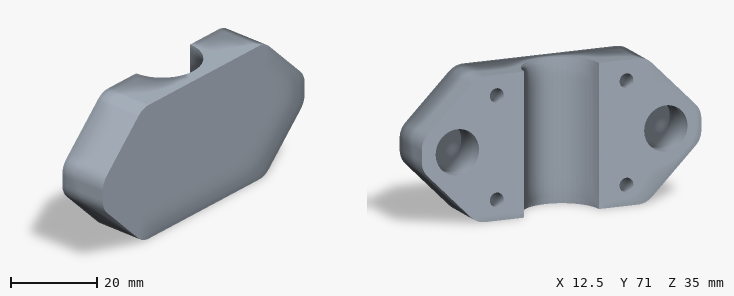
import cadquery as cq

THICKNESS = 12.5
LENGTH = 71.0
HEIGHT = 35.0

CORNER_CUT = 14.0
CORNER_RADIUS = 5.05

CHANNEL_RADIUS = 9.5
CHANNEL_AXIS_GAP = 0.3

HOLE_FLOOR = 2.5
HOLE_DEPTH = THICKNESS - HOLE_FLOOR
LARGE_HOLE_DIAMETER = 11.0
LARGE_HOLE_OFFSET = 26.5
SMALL_HOLE_DIAMETER = 3.5
SMALL_HOLE_Y = 16.5
SMALL_HOLE_Z = 12.5

MATING_PLANE = cq.Workplane("YZ")


def make_body():
    """Plate with 45 degree corners and every outline corner rounded."""
    plate = MATING_PLANE.rect(LENGTH, HEIGHT).extrude(THICKNESS)
    return plate.edges("|X").chamfer(CORNER_CUT).edges("|X").fillet(CORNER_RADIUS)


def make_channel():
    """Cylinder that cuts the channel through the full height."""
    return (
        cq.Workplane("XY", origin=(-CHANNEL_AXIS_GAP, 0, -HEIGHT / 2))
        .circle(CHANNEL_RADIUS)
        .extrude(HEIGHT)
    )


def make_holes(centers, diameter):
    """Cylinders that cut equal blind holes at the given (Y, Z) centers."""
    return MATING_PLANE.pushPoints(centers).circle(diameter / 2).extrude(HOLE_DEPTH)


large_centers = [(side * LARGE_HOLE_OFFSET, 0) for side in (-1, 1)]
small_centers = [(y, z) for y in (-SMALL_HOLE_Y, SMALL_HOLE_Y) for z in (-SMALL_HOLE_Z, SMALL_HOLE_Z)]

result = (
    make_body()
    .cut(make_channel())
    .cut(make_holes(large_centers, LARGE_HOLE_DIAMETER))
    .cut(make_holes(small_centers, SMALL_HOLE_DIAMETER))
)